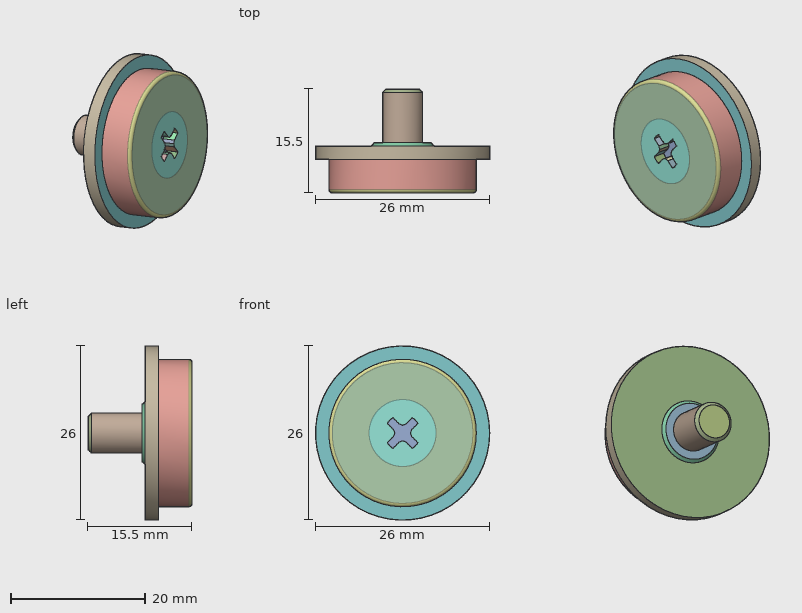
import cadquery as cq
import math

boss_diameter = 22.0
boss_height = 5.0
boss_edge_radius = 0.5
flange_diameter = 26.0
flange_thickness = 2.0
collar_base_diameter = 9.4
collar_top_diameter = 8.5
collar_height = 0.5
shank_diameter = 6.0
shank_length = 8.0
shank_chamfer = 0.5

head_diameter = 10.0
recess_arm_count = 4
recess_diameter = 5.4
recess_arm_width = 1.2
recess_waist = 1.15
recess_flare_angle = 22.5
recess_depth = 2.0
recess_angle = 45.0

flange_start = boss_height
collar_start = flange_start + flange_thickness
shank_start = collar_start + collar_height


def disc(diameter, start, length):
    """Cylinder about the Y axis running from Y = start towards +Y."""
    plane = cq.Workplane("XZ", origin=(0, start, 0))
    return plane.circle(diameter / 2).extrude(-length)


def make_boss():
    return disc(boss_diameter, 0, boss_height).faces("<Y").edges().fillet(boss_edge_radius)


def make_collar():
    """Low cone between the flange and the shank."""
    base = cq.Workplane("XZ", origin=(0, collar_start, 0)).circle(collar_base_diameter / 2)
    top = base.workplane(offset=-collar_height).circle(collar_top_diameter / 2)
    return top.loft(ruled=True)


def make_shank():
    return disc(shank_diameter, shank_start, shank_length).faces(">Y").chamfer(shank_chamfer)


def make_recess_arm():
    """Arm along +X with straight sides, flaring at its root to meet its neighbours on the diagonals."""
    half_width = recess_arm_width / 2
    reach = recess_diameter / 2
    corner = recess_waist / math.sqrt(2)
    flare_length = (corner - half_width) / math.tan(math.radians(recess_flare_angle))
    flare_end = corner + flare_length
    side = [(corner, corner), (flare_end, half_width), (reach, half_width)]
    mirrored_side = [(x, -z) for x, z in reversed(side)]
    outline = [(0, 0)] + side + mirrored_side
    return cq.Workplane("XZ").polyline(outline).close().extrude(-recess_depth)


def make_recess():
    """Four-armed pocket whose arm ends lie on a common circle."""
    arm = make_recess_arm()
    cross = arm
    for i in range(1, recess_arm_count):
        cross = cross.union(arm.rotate((0, 0, 0), (0, 1, 0), i * 360 / recess_arm_count))
    cross = cross.intersect(disc(recess_diameter, 0, recess_depth))
    return cross.rotate((0, 0, 0), (0, 1, 0), recess_angle)


def make_head():
    return disc(head_diameter, 0, boss_height).cut(make_recess())


flange = disc(flange_diameter, flange_start, flange_thickness)
body = make_boss().union(flange).union(make_collar()).union(make_shank())
head_seat = disc(head_diameter, 0, boss_height)

result = body.cut(head_seat).union(make_head(), clean=False)